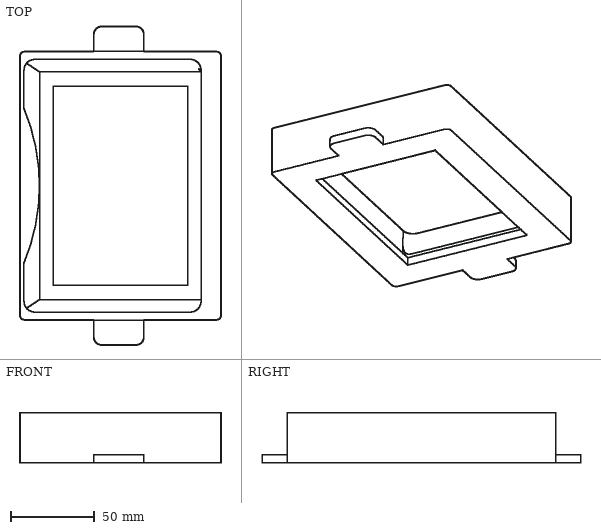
import cadquery as cq
import math

FRAME_X = 120.0
FRAME_Y = 160.0
FRAME_Z = 30.0
FRAME_CORNER_RADIUS = 3.0

WINDOW_X = 80.0
WINDOW_Y = 118.4
FLOOR_Z = 5.0

POCKET_X = 96.0
POCKET_Y = 136.0

FLARE_BASE_Z = 10.0
FLARE_BASE_X = 95.0
FLARE_BASE_Y = 134.0

RIM_LEFT = -57.5
RIM_RIGHT = POCKET_X / 2
RIM_HALF_Y = 75.3
RIM_CORNER_RADIUS = 6.5

LEFT_SEAM_INSET = 5.5
LEFT_END_SEAM_INSET = 3.7
RIGHT_SEAM_INSET = 6.5
LEFT_CORNER_SPLIT = 40.0

BULGE_HALF_Y = 46.0
BULGE_BASE_HALF_Y = 41.5
BULGE_PEAK_X = -48.3

TAB_WIDTH = 30.0
TAB_LENGTH = 15.0
TAB_THICKNESS = 5.0
TAB_CORNER_RADIUS = 5.0
TAB_CENTER_X = -1.0


def make_frame():
    """Solid block with rounded upright edges."""
    block = cq.Workplane("XY").box(FRAME_X, FRAME_Y, FRAME_Z, centered=(True, True, False))
    return block.edges("|Z").fillet(FRAME_CORNER_RADIUS)


def make_tabs():
    """One plate running under the frame, whose ends stick out as the two tabs."""
    plate = cq.Workplane("XY").center(TAB_CENTER_X, 0).box(
        TAB_WIDTH, FRAME_Y + 2 * TAB_LENGTH, TAB_THICKNESS, centered=(True, True, False)
    )
    return plate.edges("|Z").fillet(TAB_CORNER_RADIUS)


def make_window():
    """Rectangular opening through the floor."""
    return cq.Workplane("XY").rect(WINDOW_X, WINDOW_Y).extrude(FRAME_Z)


def make_pocket():
    """Straight-walled cavity from the floor to the top of the frame."""
    pocket = cq.Workplane("XY").workplane(offset=FLOOR_Z).rect(POCKET_X, POCKET_Y)
    return pocket.extrude(FRAME_Z - FLOOR_Z)


def arc_edge(center, start_degrees, end_degrees):
    """Part of a rim corner arc, at the top of the frame."""
    points = []
    for degrees in (start_degrees, (start_degrees + end_degrees) / 2, end_degrees):
        x = center[0] + RIM_CORNER_RADIUS * math.cos(math.radians(degrees))
        y = center[1] + RIM_CORNER_RADIUS * math.sin(math.radians(degrees))
        points.append(cq.Vector(x, y, FRAME_Z))
    return cq.Edge.makeThreePointArc(*points)


def rim_edge(start, end):
    """Straight rim edge at the top of the frame."""
    return cq.Edge.makeLine(cq.Vector(*start, FRAME_Z), cq.Vector(*end, FRAME_Z))


def rim_wire():
    """Rounded rim outline with the bulged left side, counterclockwise from the bulge's lower end."""
    left_x = RIM_LEFT + RIM_CORNER_RADIUS
    right_x = RIM_RIGHT - RIM_CORNER_RADIUS
    corner_y = RIM_HALF_Y - RIM_CORNER_RADIUS
    bulge = cq.Edge.makeThreePointArc(
        cq.Vector(RIM_LEFT, BULGE_HALF_Y, FRAME_Z),
        cq.Vector(BULGE_PEAK_X, 0, FRAME_Z),
        cq.Vector(RIM_LEFT, -BULGE_HALF_Y, FRAME_Z),
    )
    edges = [
        rim_edge((RIM_LEFT, -BULGE_HALF_Y), (RIM_LEFT, -corner_y)),
        arc_edge((left_x, -corner_y), 180, 180 + LEFT_CORNER_SPLIT),
        arc_edge((left_x, -corner_y), 180 + LEFT_CORNER_SPLIT, 270),
        rim_edge((left_x, -RIM_HALF_Y), (right_x, -RIM_HALF_Y)),
        arc_edge((right_x, -corner_y), 270, 360),
        rim_edge((RIM_RIGHT, -corner_y), (RIM_RIGHT, corner_y)),
        arc_edge((right_x, corner_y), 0, 90),
        rim_edge((right_x, RIM_HALF_Y), (left_x, RIM_HALF_Y)),
        arc_edge((left_x, corner_y), 90, 180 - LEFT_CORNER_SPLIT),
        arc_edge((left_x, corner_y), 180 - LEFT_CORNER_SPLIT, 180),
        rim_edge((RIM_LEFT, corner_y), (RIM_LEFT, BULGE_HALF_Y)),
        bulge,
    ]
    return cq.Wire.assembleEdges(edges)


def base_wire():
    """Base rectangle of the flare, with a point below every corner point of the rim outline."""
    left = RIM_RIGHT - FLARE_BASE_X
    half_y = FLARE_BASE_Y / 2
    lower_half = [
        (left, -BULGE_BASE_HALF_Y),
        (left, LEFT_SEAM_INSET - half_y),
        (left, -half_y),
        (left + LEFT_END_SEAM_INSET, -half_y),
        (RIM_RIGHT - RIGHT_SEAM_INSET, -half_y),
        (RIM_RIGHT, -half_y),
    ]
    upper_half = [(x, -y) for x, y in reversed(lower_half)]
    points = [cq.Vector(x, y, FLARE_BASE_Z) for x, y in lower_half + upper_half]
    return cq.Wire.makePolygon(points, close=True)


def make_flare():
    """Ruled transition from the base rectangle to the rim outline."""
    return cq.Workplane(cq.Solid.makeLoft([base_wire(), rim_wire()], True))


body = make_frame().union(make_tabs())
result = body.cut(make_window()).cut(make_pocket()).cut(make_flare())